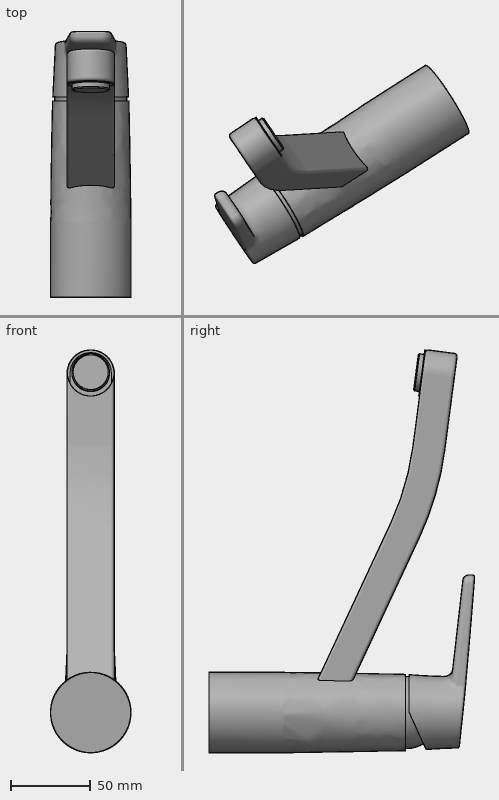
import math

import cadquery as cq

SLEEVE_RADIUS = 25.5
SLEEVE_END_Y = 47.5
BODY_END_Y = 124.2
BODY_END_RADIUS = 24.2
BODY_MID_Y = (SLEEVE_END_Y + BODY_END_Y) / 2
BODY_MID_RADIUS = 24.98
DOME_START_RADIUS = 22.9
DOME_MID_Y = 131.0
DOME_MID_RADIUS = 21.9
DOME_END_Y = 137.0
DOME_END_RADIUS = 19.0

CAP_START_Y = 126.7
CAP_START_RADIUS = 24.0
CAP_TAPER = 2.8
CAP_RELIEF_ANGLE = 24.5

LEVER_TIP_Y = 168.21
BACK_LEAN = 5.2
BACK_BULGE = 0.6
LEVER_TOP_Z = 87.0
LEVER_BASE_Z = 8.0
LEVER_TOP_THICKNESS = 7.3
LEVER_SIDE_LEAN = 1.3
LEVER_TOP_WIDTH = 25.5
LEVER_BASE_WIDTH = 33.0
LEVER_CORNER_RADIUS = 6.0
LEVER_FRONT_FILLET = 4.0
LEVER_BACK_FILLET = 1.5
LEVER_FAR_Y = LEVER_TIP_Y + 5.0
LEVER_ROOT_MIN_Y = 140.0
LEVER_ROOT_MIN_Z = 10.0
LEVER_ROOT_FILLET = 5.0

ARM_WIDTH = 30.0
ARM_THICKNESS = 20.4
ARM_LOWER_LEAN = 25.0
ARM_UPPER_LEAN = 7.5
ARM_INNER_BEND_RADIUS = 169.0
ARM_BEND_END_Y = 129.0
ARM_BEND_END_Z = 168.4
ARM_ROOT_Z = 5.0
ARM_EDGE_FILLET = 2.0
HEAD_CENTRE_Z = 214.62

OUTLET_RING_RADIUS = 14.68
OUTLET_RING_HEIGHT = 0.5
OUTLET_RADIUS = 11.9
OUTLET_HEIGHT = 4.2
OUTLET_CHAMFER = 0.8


def sin_deg(angle):
    return math.sin(math.radians(angle))


def cos_deg(angle):
    return math.cos(math.radians(angle))


def tan_deg(angle):
    return math.tan(math.radians(angle))


def back_y(z):
    """Y of the straight chord of the leaning back at height z."""
    return LEVER_TIP_Y - (LEVER_TOP_Z - z) * tan_deg(BACK_LEAN)


def turned(half_profile):
    """Turn an (r, y) half profile about the Y axis."""
    return half_profile.close().revolve(360, (0, 0, 0), (0, 1, 0))


def make_body():
    return turned(
        cq.Workplane("XY")
        .lineTo(SLEEVE_RADIUS, 0)
        .lineTo(SLEEVE_RADIUS, SLEEVE_END_Y)
        .threePointArc((BODY_MID_RADIUS, BODY_MID_Y), (BODY_END_RADIUS, BODY_END_Y))
        .lineTo(DOME_START_RADIUS, BODY_END_Y)
        .threePointArc((DOME_MID_RADIUS, DOME_MID_Y), (DOME_END_RADIUS, DOME_END_Y))
        .lineTo(0, DOME_END_Y)
    )


def side_slab(points):
    """Polygon of (y, z) points spread across the full width of the part."""
    return cq.Workplane("YZ").polyline(points).close().extrude(SLEEVE_RADIUS, both=True)


def make_cap_cone():
    length = LEVER_TIP_Y - CAP_START_Y
    end_radius = CAP_START_RADIUS - length * tan_deg(CAP_TAPER)
    return turned(
        cq.Workplane("XY")
        .moveTo(0, CAP_START_Y)
        .lineTo(CAP_START_RADIUS, CAP_START_Y)
        .lineTo(end_radius, LEVER_TIP_Y)
        .lineTo(0, LEVER_TIP_Y)
    )


def make_lever():
    """Lever blade, left long towards the back."""
    height = LEVER_TOP_Z - LEVER_BASE_Z
    front_lean = BACK_LEAN + LEVER_SIDE_LEAN
    front_base_y = LEVER_TIP_Y - LEVER_TOP_THICKNESS - height * tan_deg(front_lean)
    outline = (
        cq.Workplane("XZ")
        .moveTo(-LEVER_BASE_WIDTH / 2, LEVER_BASE_Z)
        .lineTo(-LEVER_TOP_WIDTH / 2, LEVER_TOP_Z)
        .lineTo(LEVER_TOP_WIDTH / 2, LEVER_TOP_Z)
        .lineTo(LEVER_BASE_WIDTH / 2, LEVER_BASE_Z)
        .close()
        .extrude(-LEVER_FAR_Y)
        .edges("|Y and >Z")
        .fillet(LEVER_CORNER_RADIUS)
    )
    blade = side_slab([
        (front_base_y, LEVER_BASE_Z),
        (LEVER_TIP_Y - LEVER_TOP_THICKNESS, LEVER_TOP_Z),
        (LEVER_FAR_Y, LEVER_TOP_Z),
        (LEVER_FAR_Y, LEVER_BASE_Z),
    ])
    lever = outline.intersect(blade)
    return lever.faces(">Z").edges("|X").edges("<Y").fillet(LEVER_FRONT_FILLET)


def make_handle():
    """Cap and lever blended together, then trimmed by the curved back and the underside cut."""
    below = -SLEEVE_RADIUS
    handle = make_cap_cone().union(make_lever())
    root = cq.selectors.BoxSelector(
        (-SLEEVE_RADIUS, LEVER_ROOT_MIN_Y, LEVER_ROOT_MIN_Z),
        (SLEEVE_RADIUS, LEVER_TIP_Y, CAP_START_RADIUS),
    )
    handle = handle.edges(root).fillet(LEVER_ROOT_FILLET)
    mid_z = (LEVER_TOP_Z + below) / 2
    back_waste = (
        cq.Workplane("YZ")
        .moveTo(back_y(below), below)
        .threePointArc((back_y(mid_z) + BACK_BULGE, mid_z), (LEVER_TIP_Y, LEVER_TOP_Z))
        .lineTo(LEVER_FAR_Y, LEVER_TOP_Z)
        .lineTo(LEVER_FAR_Y, below)
        .close()
        .extrude(SLEEVE_RADIUS, both=True)
    )
    relief_waste = side_slab([
        (CAP_START_Y, 0),
        (CAP_START_Y - below * tan_deg(CAP_RELIEF_ANGLE), below),
        (CAP_START_Y, below),
    ])
    handle = handle.cut(back_waste).cut(relief_waste)
    return handle.faces(">Z").edges("|X").edges(">Y").fillet(LEVER_BACK_FILLET)


def face_y(z):
    """Y of the arm's upper front face at height z."""
    return ARM_BEND_END_Y + (z - ARM_BEND_END_Z) * tan_deg(ARM_UPPER_LEAN)


def head_plane():
    """Plane on the arm's front face at the head centre, normal pointing outward."""
    return cq.Plane(
        origin=(0, face_y(HEAD_CENTRE_Z), HEAD_CENTRE_Z),
        xDir=(1, 0, 0),
        normal=(0, -cos_deg(ARM_UPPER_LEAN), sin_deg(ARM_UPPER_LEAN)),
    )


def make_arm():
    centre_y = ARM_BEND_END_Y - ARM_INNER_BEND_RADIUS * cos_deg(ARM_UPPER_LEAN)
    centre_z = ARM_BEND_END_Z + ARM_INNER_BEND_RADIUS * sin_deg(ARM_UPPER_LEAN)
    outer_radius = ARM_INNER_BEND_RADIUS + ARM_THICKNESS
    mid_lean = (ARM_LOWER_LEAN + ARM_UPPER_LEAN) / 2

    def bend_point(radius, lean):
        return (centre_y + radius * cos_deg(lean), centre_z - radius * sin_deg(lean))

    def root_point(radius):
        y, z = bend_point(radius, ARM_LOWER_LEAN)
        return (y - (z - ARM_ROOT_Z) * tan_deg(ARM_LOWER_LEAN), ARM_ROOT_Z)

    head_front = (face_y(HEAD_CENTRE_Z), HEAD_CENTRE_Z)
    head_back = (
        head_front[0] + ARM_THICKNESS * cos_deg(ARM_UPPER_LEAN),
        head_front[1] - ARM_THICKNESS * sin_deg(ARM_UPPER_LEAN),
    )
    inner = ARM_INNER_BEND_RADIUS
    arm = (
        cq.Workplane("YZ")
        .moveTo(*root_point(inner))
        .lineTo(*bend_point(inner, ARM_LOWER_LEAN))
        .threePointArc(bend_point(inner, mid_lean), bend_point(inner, ARM_UPPER_LEAN))
        .lineTo(*head_front)
        .lineTo(*head_back)
        .lineTo(*bend_point(outer_radius, ARM_UPPER_LEAN))
        .threePointArc(bend_point(outer_radius, mid_lean), bend_point(outer_radius, ARM_LOWER_LEAN))
        .lineTo(*root_point(outer_radius))
        .close()
        .extrude(ARM_WIDTH / 2, both=True)
    )
    head = cq.Workplane(head_plane()).circle(ARM_WIDTH / 2).extrude(-ARM_THICKNESS)
    arm = arm.union(head)
    arm = arm.edges("%CIRCLE").edges(">Z").fillet(ARM_EDGE_FILLET)
    back_rim = arm.faces(">Y").edges("%CIRCLE").edges(">Z")
    return back_rim.fillet(ARM_EDGE_FILLET)


def make_outlet():
    ring = cq.Workplane(head_plane()).circle(OUTLET_RING_RADIUS).extrude(OUTLET_RING_HEIGHT)
    disc = cq.Workplane(head_plane()).circle(OUTLET_RADIUS).extrude(OUTLET_HEIGHT)
    return ring.union(disc.faces("<Y").chamfer(OUTLET_CHAMFER))


result = make_body().union(make_arm()).union(make_outlet()).union(make_handle())